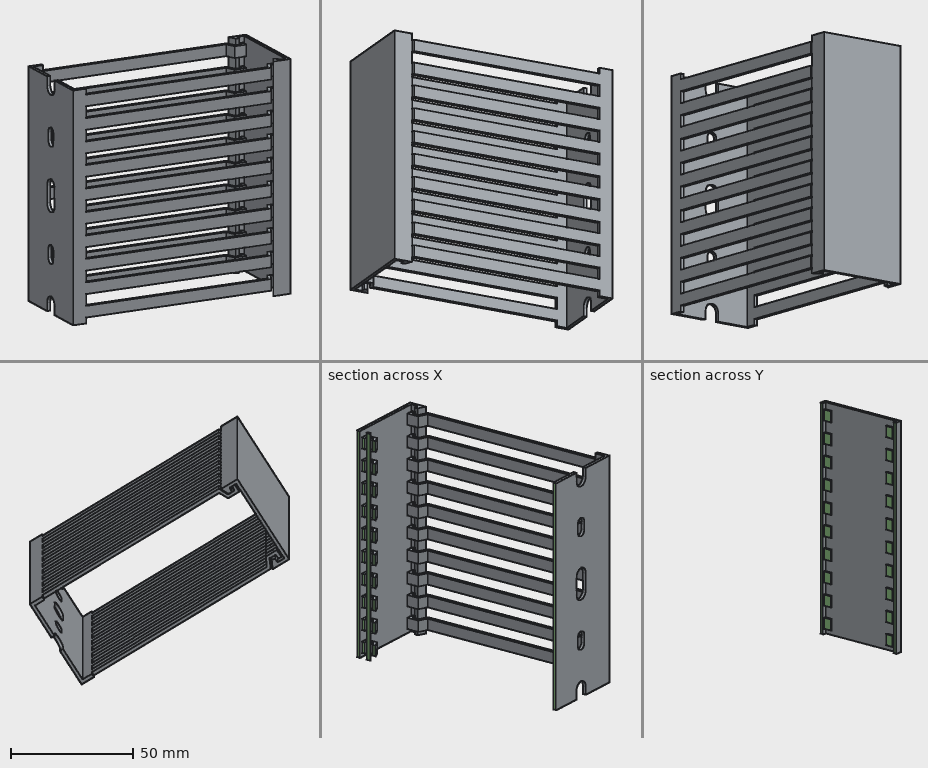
import cadquery as cq

duct_width = 40.0
duct_depth = 100.0
duct_length = 100.0

wall_thickness = 1.6
base_thickness = 1.5
skirt_height = 6.0

finger_pitch = 10.0
finger_width = 5.0
finger_count = round(duct_length / finger_pitch)

cover_thickness = 1.5
cover_side_height = 8.0
barb_reach = 3.5
barb_back_depth = 4.7
barb_tip_depth = 6.3
barb_nose_depth = 5.6
barb_back_reach = 3.3

hook_outer_reach = 5.5
hook_lip_reach = 2.0
hook_top_depth = 2.5
hook_thickness = 1.5
hook_inner_reach = hook_outer_reach - hook_thickness
hook_lip_depth = hook_top_depth + hook_thickness
finger_shoulder_depth = 8.9
finger_bend_depth = 9.8
hook_throat_depth = 7.1
hook_elbow_depth = 7.9

large_slot_length = 14.0
large_slot_width = 6.5
large_slot_pitch = 50.0
small_slot_length = 8.0
small_slot_width = 4.5
small_slot_pitch = large_slot_pitch

half_width = duct_width / 2
base_face = -duct_depth / 2
cover_face = duct_depth / 2
half_length = duct_length / 2


def mirrored_profile(left_half):
    """Close an outline from its left half, given as (reach from the left face, Y)."""
    left = [(reach - half_width, y) for reach, y in left_half]
    right = [(-x, y) for x, y in reversed(left)]
    return cq.Workplane("XY").workplane(offset=-half_length).polyline(left + right).close()


def duct_blank():
    """Full-length channel with the hook profile along both free edges."""
    outline = [
        (0, base_face),
        (0, cover_face - finger_shoulder_depth),
        (hook_inner_reach, cover_face - hook_throat_depth),
        (hook_inner_reach, cover_face - hook_lip_depth),
        (hook_lip_reach, cover_face - hook_lip_depth),
        (hook_lip_reach, cover_face - hook_top_depth),
        (hook_outer_reach, cover_face - hook_top_depth),
        (hook_outer_reach, cover_face - hook_elbow_depth),
        (wall_thickness, cover_face - finger_bend_depth),
        (wall_thickness, base_face + base_thickness),
    ]
    return mirrored_profile(outline).extrude(duct_length)


def finger_gaps():
    """Cutters for the open gaps between fingers, with half a gap at each end."""
    gap_width = finger_pitch - finger_width
    gap_depth = duct_depth - skirt_height
    centres = [(0, -half_length + i * finger_pitch) for i in range(finger_count + 1)]
    return (
        cq.Workplane("XZ", origin=(0, cover_face, 0))
        .pushPoints(centres)
        .rect(duct_width, gap_width)
        .extrude(gap_depth)
    )


def base_slots(heights, length, width):
    """Round-ended cutters through the base, long along Z."""
    return (
        cq.Workplane("XZ", origin=(0, base_face + base_thickness, 0))
        .pushPoints([(0, z) for z in heights])
        .slot2D(length, width, 90)
        .extrude(base_thickness)
    )


def make_duct():
    large_heights = [-large_slot_pitch, 0, large_slot_pitch]
    small_heights = [-small_slot_pitch / 2, small_slot_pitch / 2]
    return (
        duct_blank()
        .cut(finger_gaps())
        .cut(base_slots(large_heights, large_slot_length, large_slot_width))
        .cut(base_slots(small_heights, small_slot_length, small_slot_width))
    )


def make_cover():
    """Snap-on cover with a barb along the inside of each side."""
    outline = [
        (0, cover_face),
        (0, cover_face - cover_side_height),
        (barb_reach, cover_face - barb_tip_depth),
        (barb_reach, cover_face - barb_nose_depth),
        (barb_back_reach, cover_face - barb_back_depth),
        (cover_thickness, cover_face - barb_back_depth),
        (cover_thickness, cover_face - cover_thickness),
    ]
    return mirrored_profile(outline).extrude(duct_length)


duct = make_duct()
cover = make_cover()

result = cq.Compound.makeCompound([duct.val(), cover.val()])